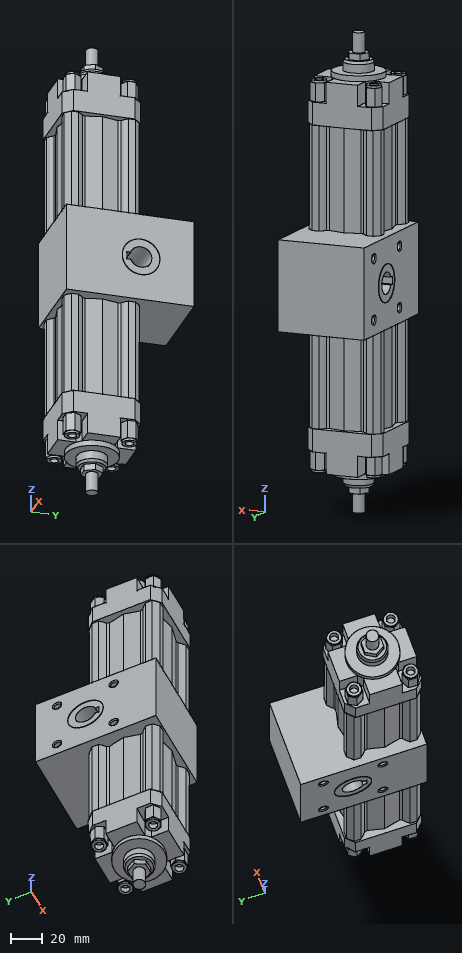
import cadquery as cq
import math


total_length = 312.0
half_length = total_length / 2
block_width = 60.0
block_depth = 85.0
block_height = 60.0
axis_from_front = 26.2
block_front = -axis_from_front
block_back = block_front + block_depth

bore_from_back = 35.3
bore_y = block_back - bore_from_back
bore_diameter = 14.5
key_width = 5.0
key_reach = 9.5
bushing_diameter = 25.0
bushing_recess = 0.3

mount_pitch = 40.0
mount_diameter = 5.0
mount_mouth_diameter = 6.5
mount_depth = 10.0

cap_bottom = 98.5
corner_floor = 113.5
cap_top = 127.3
disc_top = 131.0
collar_top = 138.5
lock_nut_top = 143.0

cap_width = 52.0
cap_chamfer = 5.5
cross_arm_width = 21.8
disc_diameter = 35.0

collar_diameter = 20.0
collar_bevel_height = 2.0
collar_bevel_inset = 1.0
lock_nut_flats = 12.8
rod_diameter = 8.0

nut_pitch = 38.0
nut_corner_diameter = 11.5
nut_lip_diameter = 9.7
nut_lip_height = 1.5
nut_socket_diameter = 5.5
nut_socket_depth = 4.7
nut_settings = [(-1, -1, -93), (1, -1, 0), (-1, 1, 180), (1, 1, 90)]

tube_half_width = 25.0
tube_corner = 21.2
tube_side_points = [
    (0, 23.0),
    (11.0, 20.5),
    (12.8, 21.2),
    (14.7, 23.5),
    (15.5, 24.0),
    (16.5, tube_half_width),
    (tube_corner, tube_half_width),
]


def hexagon(corner_diameter, first_corner, z_from, z_to, x=0, y=0):
    """Hexagonal prism along Z with one corner at the given angle."""
    prism = cq.Workplane("XY").polygon(6, corner_diameter).extrude(z_to - z_from)
    return prism.rotate((0, 0, 0), (0, 0, 1), first_corner).translate((x, y, z_from))


def disc(diameter, z_from, z_to):
    return cq.Workplane("XY").workplane(offset=z_from).circle(diameter / 2).extrude(z_to - z_from)


def make_tube():
    """Grooved profile tube running through the block from cap to cap."""
    left_half = [(-along, out) for along, out in reversed(tube_side_points[1:])]
    side = left_half + tube_side_points
    outline = []
    for quarter in range(4):
        turn = -quarter * math.pi / 2
        for along, out in side:
            x = along * math.cos(turn) - out * math.sin(turn)
            y = along * math.sin(turn) + out * math.cos(turn)
            outline.append((x, y))
    return cq.Workplane("XY").polyline(outline).close().extrude(cap_bottom, both=True)


def make_cap():
    """Square end cap with its four corners cut down, leaving a cross.

    A square core, turned 45 degrees and touching the disc above, fills the inner corners of the cross.
    """
    cap_height = cap_top - cap_bottom
    cap = cq.Workplane("XY").workplane(offset=cap_bottom).rect(cap_width, cap_width).extrude(cap_height)
    cap = cap.edges("|Z").chamfer(cap_chamfer)
    corner_size = (cap_width - cross_arm_width) / 2
    corner_offset = cross_arm_width + corner_size
    corners = (
        cq.Workplane("XY").workplane(offset=corner_floor)
        .rect(corner_offset, corner_offset, forConstruction=True).vertices()
        .rect(corner_size, corner_size).extrude(cap_top - corner_floor)
    )
    core = cq.Workplane("XY").workplane(offset=corner_floor)
    core = core.rect(disc_diameter, disc_diameter).extrude(cap_top - corner_floor)
    core = core.rotate((0, 0, 0), (0, 0, 1), 45)
    return cap.cut(corners.cut(core))


def make_nut(x, y, first_corner):
    """Tie-rod nut with a round lip and a blind socket."""
    shoulder = cap_top - nut_lip_height
    nut = hexagon(nut_corner_diameter, first_corner, corner_floor, shoulder, x, y)
    nut = nut.union(disc(nut_lip_diameter, shoulder, cap_top).translate((x, y, 0)))
    socket = disc(nut_socket_diameter, cap_top - nut_socket_depth, cap_top)
    return nut.cut(socket.translate((x, y, 0)))


def make_rod_end():
    """Stepped disc, bevelled collar, lock nut and rod on the cylinder axis."""
    collar_radius = collar_diameter / 2
    bevel_radius = collar_radius - collar_bevel_inset
    collar = (
        cq.Workplane("XZ")
        .moveTo(0, disc_top)
        .lineTo(collar_radius, disc_top)
        .lineTo(collar_radius, collar_top - collar_bevel_height)
        .lineTo(bevel_radius, collar_top)
        .lineTo(0, collar_top)
        .close()
        .revolve(360, (0, 0), (0, 1))
    )
    lock_nut_corners = lock_nut_flats / math.cos(math.pi / 6)
    return (
        disc(disc_diameter, cap_top, disc_top)
        .union(collar)
        .union(hexagon(lock_nut_corners, 0, collar_top, lock_nut_top))
        .union(disc(rod_diameter, lock_nut_top, half_length))
    )


def make_end():
    end = make_cap().union(make_rod_end())
    for x_side, y_side, first_corner in nut_settings:
        end = end.union(make_nut(x_side * nut_pitch / 2, y_side * nut_pitch / 2, first_corner))
    return end


def make_block():
    block_middle = (block_front + block_back) / 2
    return cq.Workplane("XY").box(block_width, block_depth, block_height).translate((0, block_middle, 0))


def cut_bore(body):
    """Keyed bore through the block, with the recessed bushing faces at both ends."""
    plane = cq.Workplane("YZ").center(bore_y, 0)
    bore = plane.circle(bore_diameter / 2).extrude(block_width / 2, both=True)
    keyway = plane.center(-key_reach / 2, 0).rect(key_reach, key_width).extrude(block_width / 2, both=True)
    face_ring = plane.circle(bushing_diameter / 2).extrude(bushing_recess)
    body = body.cut(bore).cut(keyway)
    for face_x in (-block_width / 2, block_width / 2 - bushing_recess):
        body = body.cut(face_ring.translate((face_x, 0, 0)))
    return body


def cut_mount_holes(body):
    """Four blind holes with a 45-degree mouth in the -X face."""
    mouth_radius = mount_mouth_diameter / 2
    hole_radius = mount_diameter / 2
    hole = (
        cq.Workplane("XY")
        .lineTo(0, mouth_radius)
        .lineTo(mouth_radius - hole_radius, hole_radius)
        .lineTo(mount_depth, hole_radius)
        .lineTo(mount_depth, 0)
        .close()
        .revolve(360, (0, 0), (1, 0))
    )
    for y_side in (-1, 1):
        for z_side in (-1, 1):
            y = bore_y + y_side * mount_pitch / 2
            z = z_side * mount_pitch / 2
            body = body.cut(hole.translate((-block_width / 2, y, z)))
    return body


upper_end = make_end()
body = make_block().union(make_tube()).union(upper_end).union(upper_end.mirror("XY"))
body = cut_bore(body)
result = cut_mount_holes(body)